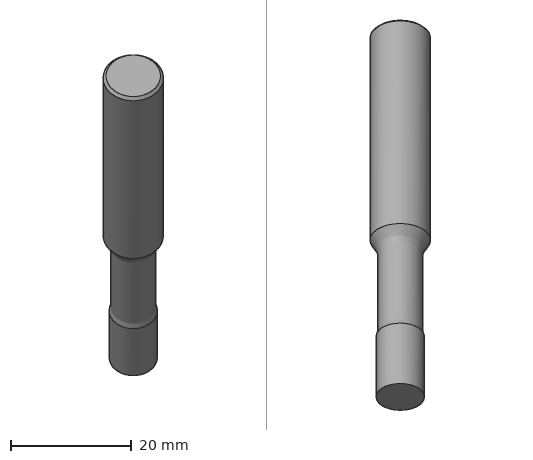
import cadquery as cq

shank_diameter = 10.0
neck_diameter = 7.5
cutter_diameter = 8.0

total_length = 72.0
cutter_length = 12.0
neck_bottom = 12.95
neck_top = 28.5
shank_taper_bottom = 29.45
shank_bottom = 31.2

shank_end_chamfer = 0.5

shank_radius = shank_diameter / 2
neck_radius = neck_diameter / 2
cutter_radius = cutter_diameter / 2


def make_cutter():
    """Plain cylindrical cutting head standing on the XY plane."""
    return cq.Workplane("XY").circle(cutter_radius).extrude(cutter_length)


def make_shank():
    """Turned shank with a slimmer neck, seated on the end face of the cutter."""
    half_profile = (
        cq.Workplane("XZ")
        .moveTo(0, cutter_length)
        .lineTo(cutter_radius, cutter_length)
        .lineTo(neck_radius, neck_bottom)
        .lineTo(neck_radius, neck_top)
        .lineTo(cutter_radius, shank_taper_bottom)
        .lineTo(shank_radius, shank_bottom)
        .lineTo(shank_radius, total_length)
        .lineTo(0, total_length)
        .close()
    )
    shank = half_profile.revolve(360, (0, 0, 0), (0, 1, 0))
    return shank.faces(">Z").edges().chamfer(shank_end_chamfer)


cutter = make_cutter()
shank = make_shank()

result = cq.Compound.makeCompound([cutter.val(), shank.val()])